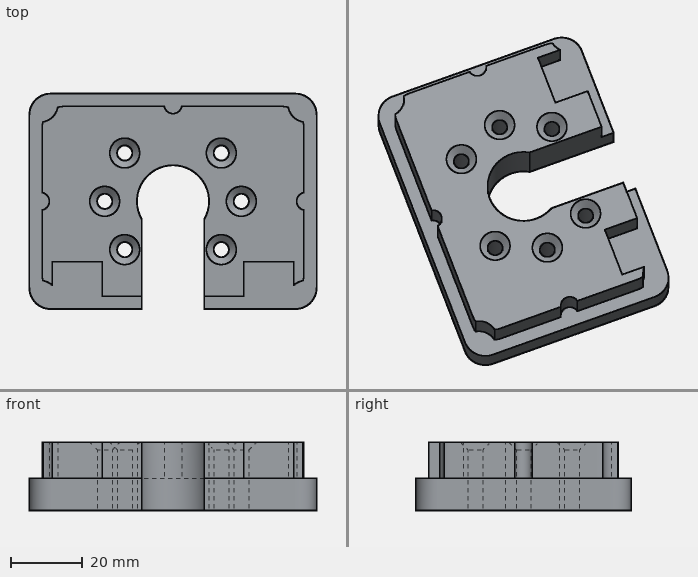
import cadquery as cq
import math

base_length = 80.0
base_width = 60.0
base_height = 9.0
base_corner_radius = 6.0

block_length = 72.8
block_width = 52.8
block_corner_radius = 6.0
total_height = 19.0
block_height = total_height - base_height

edge_relief_radius = 2.5
edge_relief_offset = 0.5
corner_relief_radius = 5.0
corner_relief_offset = 0.6

pocket_inner_x = 19.7
pocket_outer_x = 33.6
pocket_back_y = -16.8

bore_diameter = 20.0
slot_width = 17.3

hole_diameter = 4.2
countersink_diameter = 8.3
countersink_angle = 90.0
pitch_radius = 19.0
hole_angles = [-45, 0, 45, 135, 180, 225]


def make_base():
    plate = cq.Workplane("XY").box(base_length, base_width, base_height, centered=(True, True, False))
    return plate.edges("|Z").fillet(base_corner_radius)


def block_level():
    return cq.Workplane("XY").workplane(offset=base_height)


def round_reliefs(points, radius):
    return block_level().pushPoints(points).circle(radius).extrude(block_height)


def front_pockets():
    pocket_length = pocket_outer_x - pocket_inner_x
    pocket_depth = pocket_back_y + block_width / 2
    pocket_x = (pocket_inner_x + pocket_outer_x) / 2
    pocket_y = pocket_back_y - pocket_depth / 2
    pocket_centres = [(-pocket_x, pocket_y), (pocket_x, pocket_y)]
    return block_level().pushPoints(pocket_centres).rect(pocket_length, pocket_depth).extrude(block_height)


def make_block():
    edge_x = block_length / 2 + edge_relief_offset
    edge_y = block_width / 2 + edge_relief_offset
    corner_x = block_length / 2 + corner_relief_offset
    corner_y = block_width / 2 + corner_relief_offset
    edge_points = [(-edge_x, 0), (edge_x, 0), (0, edge_y)]
    corner_points = [(x, y) for x in (-corner_x, corner_x) for y in (-corner_y, corner_y)]

    block = block_level().rect(block_length, block_width).extrude(block_height)
    block = block.edges("|Z").fillet(block_corner_radius)
    block = block.cut(round_reliefs(edge_points, edge_relief_radius))
    block = block.cut(round_reliefs(corner_points, corner_relief_radius))
    return block.cut(front_pockets())


def keyhole():
    slot_length = base_width / 2
    bore = cq.Workplane("XY").circle(bore_diameter / 2).extrude(total_height)
    slot = cq.Workplane("XY").center(0, -slot_length / 2).rect(slot_width, slot_length).extrude(total_height)
    return bore.union(slot)


def drill_screw_holes(body):
    points = []
    for angle in hole_angles:
        direction = math.radians(angle)
        points.append((pitch_radius * math.cos(direction), pitch_radius * math.sin(direction)))
    top = body.faces(">Z").workplane(origin=(0, 0, total_height))
    return top.pushPoints(points).cskHole(hole_diameter, countersink_diameter, countersink_angle)


result = drill_screw_holes(make_base().union(make_block()).cut(keyhole()))